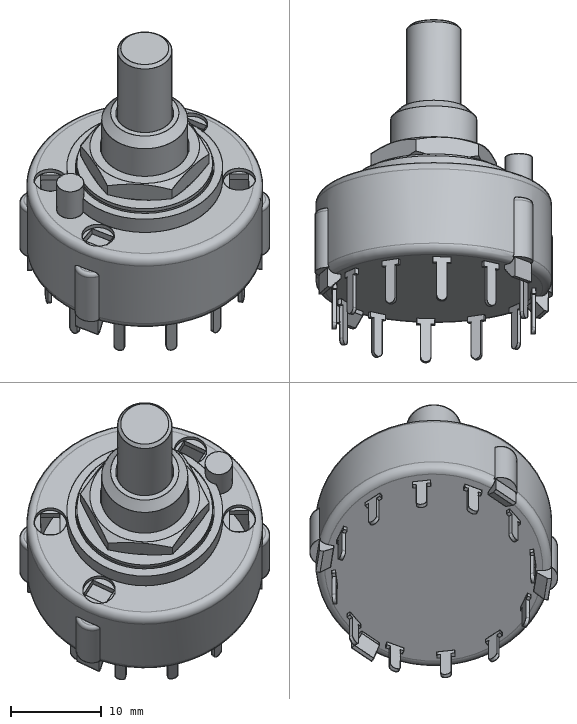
import cadquery as cq
import math


total_height = 35.3
case_bottom = 5.0
case_top = 15.6
flange_top = 17.58
seat_height = 0.1
seat_top = flange_top + seat_height
bushing_top = 25.6
pin_top = 19.6
nut_top = 20.6
nut_height = 2.47
washer_top = nut_top - nut_height

washer_diameter = 15.0
washer_bore = 10.25

case_diameter = 26.0
case_fillet = 1.0
wall_thickness = 1.0
lid_thickness = 1.27
flange_diameter = 17.2
groove_diameter = 15.3
groove_depth = 0.5
bushing_diameter = 9.5
bushing_chamfer = 1.0
bushing_bore = 6.35
shaft_diameter = 6.0
shaft_chamfer = 0.35

pin_diameter = 3.0
pin_distance = 9.53

latch_angle = 60.0
latch_angles = [
    latch_angle,
    180 - latch_angle,
    180 + latch_angle,
    360 - latch_angle,
]
rib_diameter = 3.55
rib_distance = 12.0
rib_bottom = 5.58
rib_top = 12.6
rib_fillet = 0.45
hook_width = 2.82
hook_bottom = 3.35
hook_root = case_bottom + wall_thickness
hook_tip_depth = 0.45
hook_full_depth = 1.62
window_distance = 10.4
counterbore_diameter = rib_diameter
counterbore_depth = 0.5
window_width = 2.72
window_length = 2.12

terminal_count = 12
terminal_distance = 11.0
terminal_width = 1.15
terminal_thickness = 0.42
shoulder_width = 2.0
shoulder_height = 0.65

nut_across_flats = 12.35
nut_bore = 9.8
nut_face_diameter = 12.1
nut_corner_drop = 0.55
nut_turn = -5.7


def cylinder(diameter, bottom, top):
    """Cylinder on the switch axis between two heights."""
    return cq.Workplane("XY").workplane(offset=bottom).circle(diameter / 2).extrude(top - bottom)


def around_axis(shape, angle):
    """Turn a shape from the +X direction to the given angle about the switch axis."""
    return shape.rotate((0, 0, 0), (0, 0, 1), angle)


def make_case():
    """Solid round case with its flange, grooved washer seat, bushing and shaft."""
    case = cylinder(case_diameter, case_bottom, case_top).edges().fillet(case_fillet)
    flange = cylinder(flange_diameter, case_top, flange_top)
    groove_bottom = flange_top - groove_depth
    groove = cylinder(groove_diameter, groove_bottom, flange_top)
    seat = cylinder(washer_diameter, groove_bottom, seat_top)
    bushing = cylinder(bushing_diameter, case_top, bushing_top).faces(">Z").chamfer(bushing_chamfer)
    shaft_gap = cylinder(bushing_bore, flange_top, bushing_top)
    shaft = cylinder(shaft_diameter, case_top, total_height).faces(">Z").chamfer(shaft_chamfer)
    case = case.union(flange).cut(groove).union(seat)
    return case.union(bushing).cut(shaft_gap).union(shaft)


def make_cavity():
    """Cutter for the hollow inside of the case."""
    cavity_diameter = case_diameter - 2 * wall_thickness
    return cylinder(cavity_diameter, case_bottom + wall_thickness, case_top - lid_thickness)


def make_locating_pin():
    """Round pin on the -Y side that keys the switch to its panel."""
    return cylinder(pin_diameter, case_top - lid_thickness, pin_top).translate((0, -pin_distance, 0))


def make_rib():
    """Rib that stands out of the case wall, rounded at its top."""
    rib = cylinder(rib_diameter, rib_bottom, rib_top).faces(">Z").edges().fillet(rib_fillet)
    return rib.translate((rib_distance, 0, 0))


def make_hook():
    """Snap hook below a rib: flat outside, sides aimed at the axis, and a sloping lead-in inside."""
    outer_face = math.sqrt((case_diameter / 2) ** 2 - (hook_width / 2) ** 2)
    lead_in_top = hook_bottom + hook_full_depth - hook_tip_depth
    profile = [
        (outer_face, hook_bottom),
        (outer_face, hook_root),
        (outer_face - hook_full_depth, hook_root),
        (outer_face - hook_full_depth, lead_in_top),
        (outer_face - hook_tip_depth, hook_bottom),
    ]
    hook = cq.Workplane("XZ").polyline(profile).close().extrude(hook_width / 2, both=True)
    sector = [(0, 0), (outer_face, hook_width / 2), (outer_face, -hook_width / 2)]
    wedge = cq.Workplane("XY").polyline(sector).close().extrude(hook_root)
    return hook.intersect(wedge)


def make_window():
    """Cutter for a round counterbore in the lid and a rectangular window through to the cavity."""
    counterbore = cylinder(counterbore_diameter, case_top - counterbore_depth, case_top)
    opening = (
        cq.Workplane("XY")
        .workplane(offset=case_top - lid_thickness)
        .rect(window_length, window_width)
        .extrude(lid_thickness)
    )
    return counterbore.union(opening).translate((window_distance, 0, 0))


def make_terminal():
    """Flat terminal with a shoulder under the case and a full round tip."""
    tip_radius = terminal_width / 2
    blade = (
        cq.Workplane("YZ")
        .moveTo(-tip_radius, case_bottom)
        .lineTo(-tip_radius, tip_radius)
        .threePointArc((0, 0), (tip_radius, tip_radius))
        .lineTo(tip_radius, case_bottom)
        .close()
        .extrude(terminal_thickness / 2, both=True)
    )
    shoulder = cq.Workplane("XY").box(
        terminal_thickness, shoulder_width, shoulder_height, centered=(True, True, False)
    )
    shoulder = shoulder.translate((0, 0, case_bottom - shoulder_height))
    return blade.union(shoulder).translate((terminal_distance, 0, 0))


def make_switch():
    """Whole switch as one solid."""
    body = make_case().union(make_locating_pin())
    for angle in latch_angles:
        body = body.union(around_axis(make_rib(), angle))
        body = body.union(around_axis(make_hook(), angle))
    body = body.cut(make_cavity())
    for angle in latch_angles:
        body = body.cut(around_axis(make_window(), angle))
    pitch = 360 / terminal_count
    for index in range(terminal_count):
        body = body.union(around_axis(make_terminal(), (index + 0.5) * pitch))
    return body


def make_washer():
    """Flat washer lying on the seat of the flange."""
    return cylinder(washer_diameter, seat_top, washer_top).cut(
        cylinder(washer_bore, seat_top, washer_top)
    )


def make_nut():
    """Plain hex nut on the washer, with the corners of both faces cut back to a cone."""
    corner_radius = nut_across_flats / math.sqrt(3)
    face_radius = nut_face_diameter / 2
    hexagon = cq.Workplane("XY").polygon(6, 2 * corner_radius).extrude(nut_height)
    cone_profile = [
        (0, 0),
        (face_radius, 0),
        (corner_radius, nut_corner_drop),
        (corner_radius, nut_height - nut_corner_drop),
        (face_radius, nut_height),
        (0, nut_height),
    ]
    cones = cq.Workplane("XZ").polyline(cone_profile).close().revolve(360, (0, 0), (0, 1))
    nut = hexagon.intersect(cones).cut(cylinder(nut_bore, 0, nut_height))
    return around_axis(nut, nut_turn).translate((0, 0, nut_top - nut_height))


switch = make_switch()
washer = make_washer()
nut = make_nut()

result = cq.Compound.makeCompound([switch.val(), washer.val(), nut.val()])